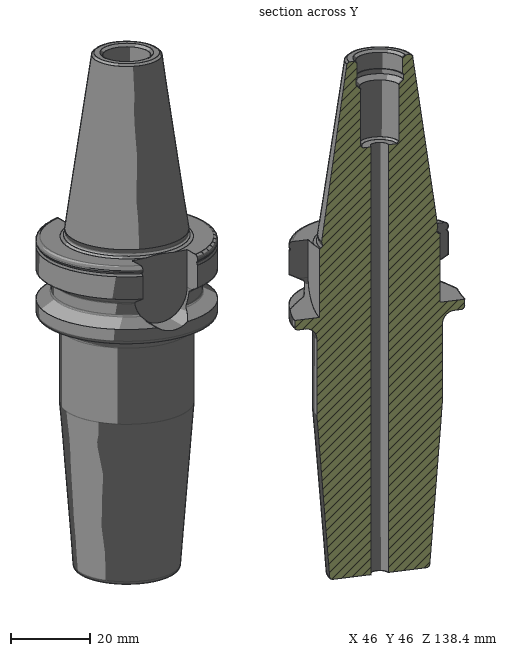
import cadquery as cq
import math

total_length = 138.4

taper_ratio = 7 / 24
gauge_radius = 15.9
gauge_z = total_length - 48.5
shank_end_z = total_length - 47.3
shank_chamfer = 0.5

flange_radius = 23.0
flange_top_z = gauge_z - 1.0
flange_bottom_z = flange_top_z - 20.9
flange_round = 1.0
neck_relief = 0.3
neck_fillet = 0.5
collar_width = 0.8
collar_height = 0.4
mark_top_z = flange_top_z - 1.4
mark_width = 1.2
mark_depth = 0.4

grip_floor_radius = 19.1
grip_middle_z = gauge_z - 13.7
grip_floor_width = 3.6
grip_wall_angle = 30
grip_corner_fillet = 0.5
grip_overshoot = 1.4

body_radius = 17.0
body_fillet = 3.0
nose_start_z = 44.5
nose_angle = 4.5
nose_round = 1.0

slot_floor_x = 16.3
slot_width = 16.0
slot_bottom_z = flange_top_z - 18.1
slot_cutter_top_z = flange_top_z + 1.4

hole_radius = 2.4
mouth_radius = 6.1
mouth_depth = 5.1
mouth_chamfer = 0.7
relief_radius = 6.4
relief_depth = 6.5
stud_radius = 5.1
stud_depth = 23.5
stud_floor_chamfer = 0.5


def shank_radius(z):
    """Radius of the taper at height z."""
    return gauge_radius - (z - gauge_z) * taper_ratio / 2


def holder_body():
    """Solid of revolution: nose, body, flange, neck and taper shank."""
    shank_end_radius = shank_radius(shank_end_z)
    neck_radius = shank_end_radius - neck_relief
    collar_radius = neck_radius + neck_fillet
    collar_top_z = flange_top_z + collar_height
    tip_radius = body_radius - nose_start_z * math.tan(math.radians(nose_angle))
    nose_round_top_radius = tip_radius + nose_round * math.tan(math.radians(nose_angle))
    return (
        cq.Workplane("XZ")
        .moveTo(0, 0)
        .lineTo(tip_radius - nose_round, 0)
        .radiusArc((nose_round_top_radius, nose_round), -nose_round)
        .lineTo(body_radius, nose_start_z)
        .lineTo(body_radius, flange_bottom_z - body_fillet)
        .radiusArc((body_radius + body_fillet, flange_bottom_z), body_fillet)
        .lineTo(flange_radius - flange_round, flange_bottom_z)
        .radiusArc((flange_radius, flange_bottom_z + flange_round), -flange_round)
        .lineTo(flange_radius, mark_top_z - mark_width)
        .lineTo(flange_radius - mark_depth, mark_top_z - mark_width / 2)
        .lineTo(flange_radius, mark_top_z)
        .lineTo(flange_radius, flange_top_z - flange_round)
        .radiusArc((flange_radius - flange_round, flange_top_z), -flange_round)
        .lineTo(collar_radius + collar_width, flange_top_z)
        .lineTo(collar_radius, collar_top_z)
        .radiusArc((neck_radius, collar_top_z + neck_fillet), neck_fillet)
        .lineTo(shank_end_radius, shank_end_z)
        .lineTo(shank_radius(total_length - shank_chamfer), total_length - shank_chamfer)
        .lineTo(shank_radius(total_length) - shank_chamfer, total_length)
        .lineTo(0, total_length)
        .close()
        .revolve(360, (0, 0), (0, 1))
    )


def grip_groove():
    """Ring cutter for the V groove, with rounded corners along its floor."""
    rim_radius = flange_radius + grip_overshoot
    half_floor = grip_floor_width / 2
    wall_rise = (rim_radius - grip_floor_radius) * math.tan(math.radians(grip_wall_angle))
    half_mouth = half_floor + wall_rise
    outline = [
        (grip_floor_radius, grip_middle_z - half_floor),
        (grip_floor_radius, grip_middle_z + half_floor),
        (rim_radius, grip_middle_z + half_mouth),
        (rim_radius, grip_middle_z - half_mouth),
    ]
    ring = cq.Workplane("XZ").polyline(outline).close().revolve(360, (0, 0), (0, 1))
    return ring.edges(cq.selectors.RadiusNthSelector(0)).fillet(grip_corner_fillet)


def bore():
    """Through hole with a retention stud hole, undercut and counterbore at the shank end."""
    stud_floor_z = total_length - stud_depth
    relief_z = total_length - relief_depth
    countersink_height = relief_radius - stud_radius
    outline = [
        (0, 0),
        (hole_radius, 0),
        (hole_radius, stud_floor_z),
        (stud_radius - stud_floor_chamfer, stud_floor_z),
        (stud_radius, stud_floor_z + stud_floor_chamfer),
        (stud_radius, relief_z - countersink_height),
        (relief_radius, relief_z),
        (relief_radius, total_length - mouth_depth),
        (mouth_radius, total_length - mouth_depth),
        (mouth_radius, total_length - mouth_chamfer),
        (mouth_radius + mouth_chamfer, total_length),
        (0, total_length),
    ]
    return cq.Workplane("XZ").polyline(outline).close().revolve(360, (0, 0), (0, 1))


def drive_slot(side):
    """Round-bottomed slot cutter on the +X (side = 1) or -X (side = -1) side."""
    end_radius = slot_width / 2
    straight_bottom_z = slot_bottom_z + end_radius
    return (
        cq.Workplane("YZ", origin=(side * slot_floor_x, 0, 0))
        .moveTo(-end_radius, slot_cutter_top_z)
        .lineTo(-end_radius, straight_bottom_z)
        .threePointArc((0, slot_bottom_z), (end_radius, straight_bottom_z))
        .lineTo(end_radius, slot_cutter_top_z)
        .close()
        .extrude(side * flange_radius)
    )


result = holder_body().cut(grip_groove()).cut(bore())
for side in (1, -1):
    result = result.cut(drive_slot(side))